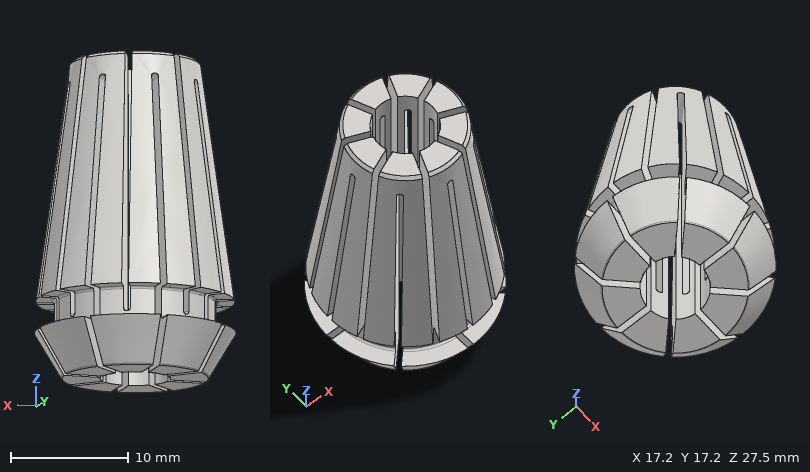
import cadquery as cq
import math

LENGTH = 27.5
BORE_DIAMETER = 6.0

COLLAR_RADIUS = 8.625
COLLAR_BASE_RADIUS = 6.34
COLLAR_HEIGHT = 3.95
COLLAR_CHAMFER = 0.1

NECK_RADIUS = 6.9
NECK_FILLET = 0.2

TAPER_START = 6.68
TAPER_BASE_RADIUS = 8.51
TAPER_HALF_ANGLE = 8.0
TOP_CHAMFER = 0.3

SLOTS_PER_END = 8
SLOT_WIDTH = 0.6
LOWER_SLOT_END = 25.5
UPPER_SLOT_END = 4.56


def taper_radius(height):
    """Radius of the long taper at a given height."""
    return TAPER_BASE_RADIUS - (height - TAPER_START) * math.tan(math.radians(TAPER_HALF_ANGLE))


def make_body():
    """Revolve the half profile: collar, filleted neck and long taper around the bore."""
    bore_radius = BORE_DIAMETER / 2
    chamfer_start = LENGTH - TOP_CHAMFER
    chamfer_radius = taper_radius(chamfer_start)
    neck_bottom = COLLAR_HEIGHT + NECK_FILLET
    neck_top = TAPER_START - NECK_FILLET
    fillet_radius = NECK_RADIUS + NECK_FILLET
    fillet_mid = NECK_FILLET * (1 - math.sqrt(0.5))

    return (
        cq.Workplane("XZ")
        .moveTo(bore_radius, 0)
        .lineTo(COLLAR_BASE_RADIUS - COLLAR_CHAMFER, 0)
        .lineTo(COLLAR_BASE_RADIUS, COLLAR_CHAMFER)
        .lineTo(COLLAR_RADIUS, COLLAR_HEIGHT)
        .lineTo(fillet_radius, COLLAR_HEIGHT)
        .threePointArc((NECK_RADIUS + fillet_mid, COLLAR_HEIGHT + fillet_mid), (NECK_RADIUS, neck_bottom))
        .lineTo(NECK_RADIUS, neck_top)
        .threePointArc((NECK_RADIUS + fillet_mid, TAPER_START - fillet_mid), (fillet_radius, TAPER_START))
        .lineTo(TAPER_BASE_RADIUS, TAPER_START)
        .lineTo(chamfer_radius, chamfer_start)
        .lineTo(chamfer_radius - TOP_CHAMFER, LENGTH)
        .lineTo(bore_radius, LENGTH)
        .close()
        .revolve(360, (0, 0, 0), (0, 1, 0))
    )


def make_slot(open_end, closed_end, angle):
    """Slot across the whole diameter, with a full-round closed end, turned about Z."""
    half_width = SLOT_WIDTH / 2
    arc_start = closed_end - math.copysign(half_width, closed_end - open_end)
    return (
        cq.Workplane("XZ")
        .moveTo(-half_width, open_end)
        .lineTo(-half_width, arc_start)
        .threePointArc((0, closed_end), (half_width, arc_start))
        .lineTo(half_width, open_end)
        .close()
        .extrude(LENGTH / 2, both=True)
        .rotate((0, 0, 0), (0, 0, 1), angle)
    )


def cut_slots(body):
    """Cut both slot sets; the upper set lies midway between the lower slots."""
    slot_pitch = 360 / SLOTS_PER_END
    for index in range(SLOTS_PER_END // 2):
        lower_angle = index * slot_pitch
        upper_angle = lower_angle + slot_pitch / 2
        body = body.cut(make_slot(0, LOWER_SLOT_END, lower_angle))
        body = body.cut(make_slot(LENGTH, UPPER_SLOT_END, upper_angle))
    return body


result = cut_slots(make_body())